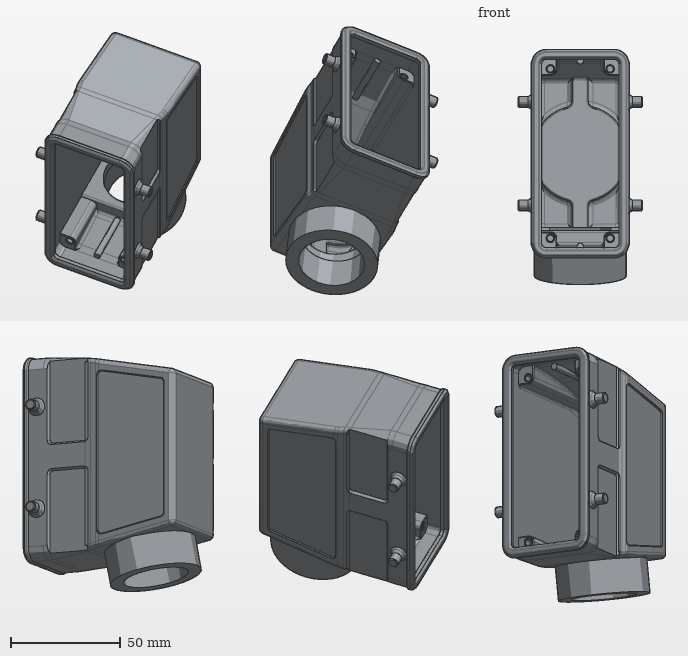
import cadquery as cq
import math


GASKET_HALF_X = 22.3
GASKET_HALF_Z = 47.8
GASKET_RADIUS = 6.7
GASKET_WIDTH = 4.6
GASKET_THICKNESS = 2.9
GASKET_FRONT_CHAMFER = 1.2
GASKET_FRONT_FILLET = 0.6
GASKET_REAR_FILLET = 0.5

MOUTH_HALF_X = 21.6
MOUTH_HALF_Z = 47.2
MOUTH_RADIUS = 5.9
BODY_HALF_X = 22.6
BODY_RADIUS = 2.5
FIRST_BEND_Y = 11.9
SECOND_BEND_Y = 33.0
SIDE_STEP_END_Y = 38.0
SIDE_STEP_SPREAD = 0.9
BEND_SPREAD = 1.4
SECOND_BEND_HALF_Z = 44.9
BACK_Y = 76.9
BACK_FILLET = 2.6
TILT = 11.0

CAVITY_HALF_X = 18.7
WALL_Z = 2.9
CAVITY_MOUTH_RADIUS = 3.2
CAVITY_RADIUS = 2.5
CAVITY_FIRST_SPREAD = 1.9
CAVITY_SECOND_SPREAD = 2.9
CAVITY_BACK_Y = 73.4
CAVITY_BACK_FILLET = 2.2

BACK_BOSS_Y = 69.5
DISC_RADIUS = 22.2
RIB_HALF_X = 3.7
RIB_CORNER_RADIUS = 2.6
BACK_BOSS_EDGE_FILLET = 0.6
BACK_BOSS_WALL_FILLET = 1.3

FLOOR_TOP_Z = -35.2
FLOOR_FRONT_Y = 33.5
FLOOR_EDGE_FILLET = 1.1
FLOOR_STEP_Y = 58.8
FLOOR_STEP_TOP_Z = -33.9

SCREW_X = 13.7
SCREW_Z = 38.9
SCREW_BOSS_RADIUS = 2.9
SCREW_BOSS_FRONT_Y = 9.7
SCREW_BOSS_CHAMFER = 0.4
SCREW_BOSS_BASE_FILLET = 1.3
SCREW_HOLE_RADIUS = 1.5
SCREW_HOLE_CHAMFER = 0.4
SCREW_HOLE_DEPTH = 10.8

MID_RIB_RADIUS = 1.5
MID_RIB_Z = 42.5

GRIP_FRONT_Y = 12.4
GRIP_INNER_Z = 5.6
GRIP_FLOOR_X = 20.3
GRIP_WALL_RUN = 0.9
GRIP_RADIUS = 2.4
PANEL_FRONT_Y = 37.8
PANEL_BACK_Y = 72.0
PANEL_MARGIN_Z = 5.2
PANEL_RADIUS = 2.4
PANEL_DEPTH = 0.5

PIN_TIP_X = 28.5
PIN_RADIUS = 2.5
PIN_Y = 7.0
PIN_Z = 23.7
PIN_CHAMFER = 0.4
PIN_COLLAR_RADIUS = 4.1
PIN_FOOT_RADIUS = 3.2
PIN_FOOT_X = 22.6
PIN_FOOT_END_X = 24.0

COLLAR_RADIUS = 21.2
BORE_RADIUS = 15.1
COLLAR_BACK_Y = 78.1
COLLAR_BOTTOM_Z = GASKET_HALF_Z - 107.9

TILT_SLOPE = math.tan(math.radians(TILT))
FRONT_SLOPE = (MOUTH_HALF_Z - SECOND_BEND_HALF_Z) / (SECOND_BEND_Y - FIRST_BEND_Y)


def outer_half_z(y):
    """Half height of the hood at depth y, before the bends are eased."""
    if y <= FIRST_BEND_Y:
        return MOUTH_HALF_Z
    if y <= SECOND_BEND_Y:
        return MOUTH_HALF_Z - FRONT_SLOPE * (y - FIRST_BEND_Y)
    return SECOND_BEND_HALF_Z - TILT_SLOPE * (y - SECOND_BEND_Y)


def outer_half_x(y):
    """Half width of the hood at depth y, before the side step is eased."""
    if y <= SECOND_BEND_Y:
        return MOUTH_HALF_X
    if y >= SIDE_STEP_END_Y:
        return BODY_HALF_X
    rise = (BODY_HALF_X - MOUTH_HALF_X) / (SIDE_STEP_END_Y - SECOND_BEND_Y)
    return MOUTH_HALF_X + rise * (y - SECOND_BEND_Y)


def rounded_loft(sections):
    """Solid through rounded rectangles, each given as (y, half_x, half_z, corner radius)."""
    sketches = []
    for y, half_x, half_z, radius in sections:
        outline = cq.Sketch().rect(2 * half_x, 2 * half_z).vertices().fillet(radius)
        sketches.append(outline.moved(cq.Location(cq.Vector(0, 0, -y))))
    return cq.Workplane("XZ").placeSketch(*sketches).loft(ruled=True)


def box_between(low, high):
    """Axis-aligned box from its two opposite corners."""
    size = [b - a for a, b in zip(low, high)]
    return cq.Workplane("XY").box(*size, centered=False).translate(low)


def rod_along_y(radius, x, z, front_y, back_y):
    """Round rod parallel to Y."""
    return cq.Workplane("XZ", origin=(x, front_y, z)).circle(radius).extrude(front_y - back_y)


def on_both_sides(shape):
    """The shape together with its mirror image in the plane x = 0."""
    return shape.union(shape.mirror("YZ"))


def above_and_below(shape):
    """The shape together with its mirror image in the plane z = 0."""
    return shape.union(shape.mirror("XY"))


def make_envelope():
    """Outer shape of the hood without its cavity, recesses and pins."""
    depths = (
        (GASKET_THICKNESS, MOUTH_RADIUS),
        (FIRST_BEND_Y - BEND_SPREAD, MOUTH_RADIUS),
        (FIRST_BEND_Y + BEND_SPREAD, MOUTH_RADIUS),
        (SECOND_BEND_Y - BEND_SPREAD, BODY_RADIUS),
        (SECOND_BEND_Y + BEND_SPREAD, BODY_RADIUS),
        (SIDE_STEP_END_Y - SIDE_STEP_SPREAD, BODY_RADIUS),
        (SIDE_STEP_END_Y + SIDE_STEP_SPREAD, BODY_RADIUS),
        (BACK_Y, BODY_RADIUS),
    )
    sections = [(y, outer_half_x(y), outer_half_z(y), radius) for y, radius in depths]
    return rounded_loft(sections).faces(">Y").edges().fillet(BACK_FILLET)


def make_cavity(back_y):
    """Plain hollow from the mouth to back_y."""
    depths = (
        (GASKET_THICKNESS, CAVITY_MOUTH_RADIUS),
        (FIRST_BEND_Y - CAVITY_FIRST_SPREAD, CAVITY_MOUTH_RADIUS),
        (FIRST_BEND_Y + CAVITY_FIRST_SPREAD, CAVITY_MOUTH_RADIUS),
        (SECOND_BEND_Y - CAVITY_SECOND_SPREAD, CAVITY_RADIUS),
        (SECOND_BEND_Y + CAVITY_SECOND_SPREAD, CAVITY_RADIUS),
        (back_y, CAVITY_RADIUS),
    )
    sections = [(y, CAVITY_HALF_X, outer_half_z(y) - WALL_Z, radius) for y, radius in depths]
    return rounded_loft(sections)


def back_boss_prism(back_y, height):
    """Disc crossed by a vertical rib, standing forward from back_y."""
    plane = cq.Workplane("XZ", origin=(0, back_y, 0))
    disc = plane.circle(DISC_RADIUS).extrude(height)
    rib = plane.rect(2 * RIB_HALF_X, 2 * MOUTH_HALF_Z).extrude(height)
    crossings = cq.selectors.BoxSelector(
        (-2 * RIB_HALF_X, 0, -DISC_RADIUS - 1.1), (2 * RIB_HALF_X, BACK_Y, DISC_RADIUS + 1.1)
    )
    return disc.union(rib).edges("|Y").edges(crossings).fillet(RIB_CORNER_RADIUS)


def make_stepped_cavity():
    """Hollow with the raised disc and rib left standing on its back wall."""
    boss = back_boss_prism(BACK_Y, BACK_Y - BACK_BOSS_Y)
    boss = boss.faces("<Y").edges().fillet(BACK_BOSS_EDGE_FILLET)
    deep = make_cavity(CAVITY_BACK_Y).cut(boss)
    deep = deep.faces(">Y").edges().fillet(CAVITY_BACK_FILLET)
    shallow = make_cavity(BACK_BOSS_Y).faces(">Y").edges().fillet(BACK_BOSS_WALL_FILLET)
    wall_fillets = back_boss_prism(BACK_BOSS_Y, BACK_BOSS_WALL_FILLET).cut(shallow)
    return deep.cut(wall_fillets)


def make_thick_floor():
    """Thick floor that carries the cable bore, one step higher at the back."""
    bottom_corner = (-MOUTH_HALF_X, FLOOR_FRONT_Y, -MOUTH_HALF_Z)
    floor = box_between(bottom_corner, (MOUTH_HALF_X, BACK_Y, FLOOR_TOP_Z))
    floor = floor.edges("<Y and >Z").fillet(FLOOR_EDGE_FILLET)
    step_corner = (-MOUTH_HALF_X, FLOOR_STEP_Y, -MOUTH_HALF_Z)
    return floor.union(box_between(step_corner, (MOUTH_HALF_X, BACK_Y, FLOOR_STEP_TOP_Z)))


def make_screw_bosses():
    """Four corner blocks whose inner edge is rounded about the screw hole."""
    low = (SCREW_X - SCREW_BOSS_RADIUS, SCREW_BOSS_FRONT_Y, SCREW_Z - SCREW_BOSS_RADIUS)
    high = (MOUTH_HALF_X, BACK_Y, MOUTH_HALF_Z)
    boss = box_between(low, high).edges("|Y and <X and <Z").fillet(SCREW_BOSS_RADIUS - 0.1)
    boss = boss.faces("<Y").edges().chamfer(SCREW_BOSS_CHAMFER)
    return above_and_below(on_both_sides(boss))


def make_mid_ribs():
    """Round ribs on the floor and ceiling, at x = 0."""
    rib = rod_along_y(MID_RIB_RADIUS, 0, MID_RIB_Z, SCREW_BOSS_FRONT_Y, SECOND_BEND_Y)
    return above_and_below(rib)


def make_screw_holes():
    """Blind chamfered holes in the screw bosses."""
    depth_y = SCREW_BOSS_FRONT_Y + SCREW_HOLE_DEPTH
    hole = rod_along_y(SCREW_HOLE_RADIUS, SCREW_X, SCREW_Z, SCREW_BOSS_FRONT_Y, depth_y)
    mouth = cq.Workplane("XY").add(
        cq.Solid.makeCone(
            SCREW_HOLE_RADIUS + SCREW_HOLE_CHAMFER,
            SCREW_HOLE_RADIUS,
            SCREW_HOLE_CHAMFER,
            pnt=cq.Vector(SCREW_X, SCREW_BOSS_FRONT_Y, SCREW_Z),
            dir=cq.Vector(0, 1, 0),
        )
    )
    return above_and_below(on_both_sides(hole.union(mouth)))


def make_grip_recesses():
    """Two sloping-walled recesses per side, open towards the top and the bottom."""
    depth = MOUTH_HALF_X - GRIP_FLOOR_X
    taper = math.degrees(math.atan(GRIP_WALL_RUN / depth))
    recess = (
        cq.Workplane("YZ", origin=(-MOUTH_HALF_X, 0, 0))
        .moveTo((GRIP_FRONT_Y + SECOND_BEND_Y) / 2, GRIP_INNER_Z + MOUTH_HALF_Z / 2)
        .sketch()
        .rect(SECOND_BEND_Y - GRIP_FRONT_Y, MOUTH_HALF_Z)
        .vertices()
        .fillet(GRIP_RADIUS)
        .finalize()
        .extrude(depth, taper=taper)
    )
    return above_and_below(on_both_sides(recess))


def make_side_panels():
    """Shallow recess in each side, following the sloping top and bottom."""
    front_z = outer_half_z(PANEL_FRONT_Y) - PANEL_MARGIN_Z
    back_z = outer_half_z(PANEL_BACK_Y) - PANEL_MARGIN_Z
    panel = (
        cq.Workplane("YZ", origin=(-BODY_HALF_X, 0, 0))
        .polyline(
            [
                (PANEL_FRONT_Y, -front_z),
                (PANEL_FRONT_Y, front_z),
                (PANEL_BACK_Y, back_z),
                (PANEL_BACK_Y, -back_z),
            ]
        )
        .close()
        .extrude(PANEL_DEPTH)
        .edges("|X")
        .fillet(PANEL_RADIUS)
        .faces(">X")
        .edges()
        .chamfer(PANEL_DEPTH * 0.9)
    )
    return on_both_sides(panel)


def make_pins():
    """Four locking pins with flared feet, cast on the hood's sides."""
    profile = [
        (0, GRIP_FLOOR_X),
        (PIN_COLLAR_RADIUS, GRIP_FLOOR_X),
        (PIN_COLLAR_RADIUS, MOUTH_HALF_X),
        (PIN_FOOT_RADIUS, PIN_FOOT_X),
        (PIN_RADIUS, PIN_FOOT_END_X),
        (PIN_RADIUS, PIN_TIP_X - PIN_CHAMFER),
        (PIN_RADIUS - PIN_CHAMFER, PIN_TIP_X),
        (0, PIN_TIP_X),
    ]
    plane = cq.Plane(origin=(0, PIN_Y, PIN_Z), xDir=(0, 1, 0), normal=(0, 0, -1))
    pin = cq.Workplane(plane).polyline(profile).close().revolve(360, (0, 0), (0, 1))
    return above_and_below(on_both_sides(pin))


def collar_rod(radius):
    """Tilted rod on the collar's axis, reaching from the collar's end up into the cavity."""
    angle = math.radians(TILT)
    end_y = COLLAR_BACK_Y - COLLAR_RADIUS * math.cos(angle)
    end_z = COLLAR_BOTTOM_Z + COLLAR_RADIUS * math.sin(angle)
    axis = cq.Vector(0, -math.sin(angle), math.cos(angle))
    length = (FLOOR_TOP_Z - end_z) / math.cos(angle) + BORE_RADIUS * math.sin(angle)
    return cq.Workplane("XY").add(
        cq.Solid.makeCylinder(radius, length, cq.Vector(0, end_y, end_z), axis)
    )


def is_boss_base(edge):
    """Whether an edge runs along the foot of a screw boss or of the thick floor."""
    start, end = edge.startPoint(), edge.endPoint()
    return abs(start.x - end.x) > SCREW_X or (abs(start.z - end.z) > 0.05 and abs(start.y - end.y) > 0.1)


def make_hollow():
    """Space inside the hood, around its bosses, thick floor and ribs."""
    bosses = make_thick_floor().union(make_screw_bosses())
    hollow = make_stepped_cavity().cut(bosses)
    inner_x = SCREW_X - SCREW_BOSS_RADIUS + 0.1
    front_y = SCREW_BOSS_FRONT_Y + SCREW_BOSS_CHAMFER - 0.1
    ceiling_edges = cq.selectors.BoxSelector(
        (-inner_x, front_y, SCREW_Z - 0.2), (inner_x, BACK_BOSS_Y - 2.2, MOUTH_HALF_Z), boundingbox=True
    )
    floor_edges = cq.selectors.BoxSelector(
        (-inner_x, front_y, -MOUTH_HALF_Z), (inner_x, FLOOR_FRONT_Y + 0.1, -SCREW_Z), boundingbox=True
    )
    hollow = hollow.edges(ceiling_edges + floor_edges).filter(is_boss_base)
    return hollow.fillet(SCREW_BOSS_BASE_FILLET).cut(make_mid_ribs())


def make_housing(envelope):
    """Hood with its inner bosses, side recesses and locking pins."""
    hollow = make_hollow()
    housing = envelope.cut(hollow).cut(make_screw_holes()).cut(collar_rod(BORE_RADIUS))
    housing = housing.cut(make_grip_recesses()).cut(make_side_panels())
    return housing.union(make_pins())


def make_gasket():
    """Rounded ring around the open mating face."""
    inner_x = GASKET_HALF_X - GASKET_WIDTH
    inner_z = GASKET_HALF_Z - GASKET_WIDTH
    sections = []
    for half_x, half_z, radius in (
        (GASKET_HALF_X, GASKET_HALF_Z, GASKET_RADIUS),
        (inner_x, inner_z, GASKET_RADIUS - GASKET_WIDTH),
    ):
        sections.append(
            rounded_loft([(0, half_x, half_z, radius), (GASKET_THICKNESS, half_x, half_z, radius)])
        )
    outer, opening = sections
    outer = outer.faces(">Y").edges().fillet(GASKET_REAR_FILLET)
    ring = outer.cut(opening).faces("<Y").edges().chamfer(GASKET_FRONT_CHAMFER)
    return ring.faces("<Y").edges().fillet(GASKET_FRONT_FILLET)


def make_collar(envelope):
    """Tilted tube whose upper end fits against the hood's underside."""
    rod = collar_rod(COLLAR_RADIUS).cut(envelope)
    below = rod.solids("<Z")
    return below.cut(collar_rod(BORE_RADIUS))


envelope = make_envelope()
housing = make_housing(envelope)
gasket = make_gasket()
collar = make_collar(envelope)

result = cq.Compound.makeCompound([housing.val(), gasket.val(), collar.val()])